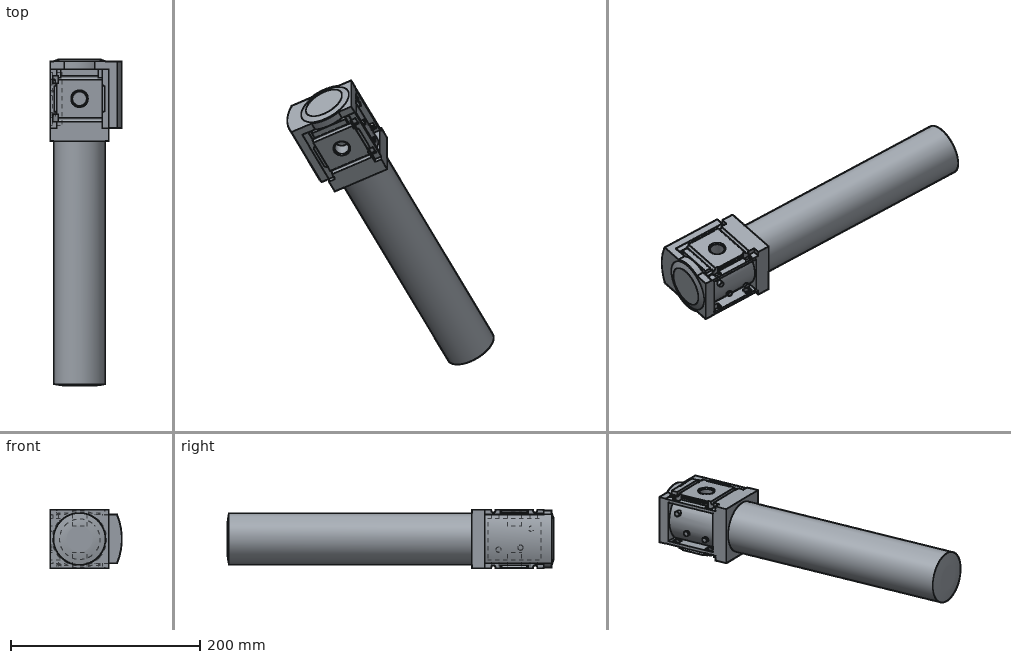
import cadquery as cq


body_half = 31.0
core_half_width = 23.8
collar_front = -45.0
bay_half = 31.0
ledge_half_height = 25.5

cover_half_height = 26.0
cover_back = 39.5
cover_shoulder = 39.7
cover_crown = 45.0

knob_radius = 30.5
knob_rim_radius = 28.3
knob_top_radius = 21.5
knob_back = 41.7

tube_radius = 55.0 / 2
tube_tip = knob_back - 345.0
tube_dome_height = 1.7
tube_dome_mid_height = 1.2
tube_flat_radius = 13.8

port_diameter = 15.2
port_mouth_diameter = 18.0
port_depth = 17.2

groove_width = 4.0
groove_depth = 3.0
groove_y = 22.0
notch_x = 19.5
notch_front = groove_y
notch_floor = 27.0
wedge_reach = 3.0
wedge_top = 30.5
wedge_bottom = 27.5
wedge_base_half = 15.0
wedge_tip_half = 12.8

window_half_length = 28.0
window_half_height = 22.0
bowl_radius = 29.0
pin_diameter = 5.5
pin_end = -30.5
pin_places = [(17.5, 11.0), (6.2, -9.0), (-17.0, -11.0)]

clip_outer_x = -28.3
clip_inner_x = -22.5
clip_near = 16.5
clip_far = 24.0


def block(x0, x1, y0, y1, z0, z1):
    """Box between two corners."""
    return cq.Workplane("XY").box(x1 - x0, y1 - y0, z1 - z0, centered=False).translate((x0, y0, z0))


def centered_block(half_width, y0, y1, half_height):
    """Box centred on the tube axis between two Y places."""
    return block(-half_width, half_width, y0, y1, -half_height, half_height)


def both_faces(top_shape):
    """A shape at the top together with its mirror image at the bottom."""
    return top_shape.union(top_shape.mirror("XY"))


def revolve_about_y(profile):
    """Turn an (X, Y) profile about the tube axis."""
    return profile.close().revolve(360, (0, 0, 0), (0, 1, 0))


def make_cover():
    outline = (
        cq.Workplane("XZ", origin=(0, cover_back, 0))
        .moveTo(body_half, -cover_half_height)
        .lineTo(cover_shoulder, -cover_half_height)
        .threePointArc((cover_crown, 0), (cover_shoulder, cover_half_height))
        .lineTo(body_half, cover_half_height)
        .close()
    )
    side = outline.extrude(cover_back + bay_half)
    back = centered_block(body_half, bay_half, cover_back, cover_half_height)
    return side.union(back)


def make_knob():
    profile = (
        cq.Workplane("XY")
        .moveTo(0, bay_half)
        .lineTo(knob_radius, bay_half)
        .lineTo(knob_radius, cover_back)
        .lineTo(knob_rim_radius, cover_back)
        .lineTo(knob_top_radius, knob_back)
        .lineTo(0, knob_back)
    )
    return revolve_about_y(profile)


def make_tube():
    dome_base = tube_tip + tube_dome_height
    dome_mid = ((tube_radius + tube_flat_radius) / 2, dome_base - tube_dome_mid_height)
    profile = (
        cq.Workplane("XY")
        .moveTo(0, collar_front)
        .lineTo(tube_radius, collar_front)
        .lineTo(tube_radius, dome_base)
        .threePointArc(dome_mid, (tube_flat_radius, tube_tip))
        .lineTo(0, tube_tip)
    )
    return revolve_about_y(profile)


def make_wedge():
    """Undercut wedge on the -X side of the top pad, widest at its own top."""
    root_x = -core_half_width
    tip_x = root_x - wedge_reach
    plate = (
        cq.Workplane("XY", origin=(0, 0, wedge_bottom))
        .polyline([
            (root_x, -wedge_base_half),
            (tip_x, -wedge_tip_half),
            (tip_x, wedge_tip_half),
            (root_x, wedge_base_half),
        ])
        .close()
        .extrude(wedge_top - wedge_bottom)
    )
    slope = (
        cq.Workplane("XZ", origin=(0, wedge_base_half, 0))
        .polyline([
            (root_x, wedge_bottom),
            (root_x, wedge_top),
            (tip_x, wedge_top),
        ])
        .close()
        .extrude(2 * wedge_base_half)
    )
    return plate.intersect(slope)


def make_groove(y):
    """Round-bottomed groove across the top pad."""
    radius = groove_width / 2
    arc_z = body_half - groove_depth + radius
    return (
        cq.Workplane("YZ", origin=(-body_half, 0, 0))
        .moveTo(y - radius, body_half)
        .lineTo(y - radius, arc_z)
        .threePointArc((y, arc_z - radius), (y + radius, arc_z))
        .lineTo(y + radius, body_half)
        .close()
        .extrude(2 * body_half)
    )


def make_notch():
    """Notch at the -X back corner of the top pad."""
    return block(-core_half_width, -notch_x, notch_front, bay_half, notch_floor, body_half)


def make_port():
    """Blind port in the top pad with a 45 degree chamfered mouth."""
    chamfer = (port_mouth_diameter - port_diameter) / 2
    bore = (
        cq.Workplane("XY", origin=(0, 0, body_half - port_depth))
        .circle(port_diameter / 2)
        .extrude(port_depth)
    )
    return bore.union(
        cq.Workplane("XY", origin=(0, 0, body_half))
        .circle(port_mouth_diameter / 2)
        .workplane(offset=-chamfer)
        .circle(port_diameter / 2)
        .loft()
    )


def make_window():
    """Space between the -X side and the round bowl."""
    opening = block(
        -body_half, 0,
        -window_half_length, window_half_length,
        -window_half_height, window_half_height,
    )
    bowl = cq.Workplane("XZ").circle(bowl_radius).extrude(window_half_length, both=True)
    return opening.cut(bowl)


def make_pin(y, z):
    return (
        cq.Workplane("YZ", origin=(pin_end, 0, 0))
        .center(y, z)
        .circle(pin_diameter / 2)
        .extrude(-pin_end)
    )


body = centered_block(body_half, collar_front, -bay_half, body_half)
body = body.union(centered_block(body_half, -bay_half, bay_half, ledge_half_height))
body = body.union(centered_block(core_half_width, -bay_half, bay_half, body_half))

wedges = both_faces(make_wedge())
body = body.union(wedges).union(wedges.mirror("YZ"))

for side in (-1, 1):
    body = body.cut(both_faces(make_groove(side * groove_y)))
notches = both_faces(make_notch())
body = body.cut(notches).cut(notches.mirror("YZ"))
body = body.cut(both_faces(make_port()))

body = body.cut(make_window())
for near, far in ((clip_near, clip_far), (-clip_far, -clip_near)):
    opening = block(clip_outer_x, clip_inner_x, near, far, window_half_height, body_half)
    body = body.cut(both_faces(opening))
for pin_y, pin_z in pin_places:
    body = body.union(make_pin(pin_y, pin_z))

result = body.union(make_cover()).union(make_knob()).union(make_tube())